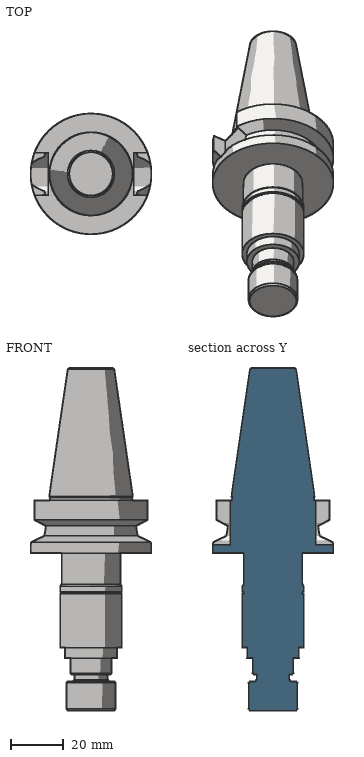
import cadquery as cq
import math

total_length = 130.4
taper_length = 48.4
gauge_to_flange = 2.0
flange_thickness = 20.0
gauge_z = total_length - taper_length
flange_top_z = gauge_z - gauge_to_flange
flange_bottom_z = flange_top_z - flange_thickness

gauge_radius = 31.75 / 2
taper_ratio = 7 / 24
shank_tip_chamfer = 0.6
relief_radius = 31.3 / 2
relief_bevel = gauge_radius - relief_radius
relief_top_z = gauge_z - 0.8
relief_bottom_z = flange_top_z + 0.8

flange_radius = 45.98 / 2
groove_floor_radius = 38.0 / 2
gauge_to_groove = 13.6
groove_center_z = gauge_z - gauge_to_groove
groove_mouth_half_width = 4.2
groove_side_angle = math.radians(30)

slot_width = 16.1
slot_floor_x = 16.3
slot_bottom_z = 63.2

neck_radius = 22.45 / 2
body_radius = 23.5 / 2
body_top_z = 48.2
body_top_chamfer_height = 0.8
body_bottom_z = 24.0
ring_groove_radius = neck_radius
ring_groove_top_z = 45.3
ring_groove_width = 0.7
ring_groove_bevel = 0.3
collar_radius = 19.9 / 2
collar_bottom_z = 20.05

nose_radius = 15.77 / 2
nose_bottom_z = 13.8
nose_chamfer = 0.5
nut_neck_radius = 12.7 / 2
nut_radius = 18.7 / 2
nut_height = 11.2
nut_top_chamfer = 0.5
nut_neck_flare_width = 0.6
nut_neck_flare_height = 0.7
nut_bottom_chamfer_width = 0.5
nut_bottom_chamfer_height = 0.8


def revolved(profile):
    """Revolve (radius, z) points about the Z axis, closing the outline on the axis."""
    first_z = profile[0][1]
    last_z = profile[-1][1]
    outline = [(0, first_z)] + profile + [(0, last_z)]
    return cq.Workplane("XZ").polyline(outline).close().revolve(360, (0, 0), (0, 1))


def make_shank():
    tip_radius = gauge_radius - taper_length * taper_ratio / 2
    return revolved([
        (gauge_radius, flange_top_z),
        (relief_radius, relief_bottom_z),
        (relief_radius, relief_top_z),
        (gauge_radius, relief_top_z + relief_bevel),
        (gauge_radius, gauge_z),
        (tip_radius + shank_tip_chamfer * taper_ratio / 2, total_length - shank_tip_chamfer),
        (tip_radius - shank_tip_chamfer, total_length),
    ])


def make_flange():
    side_height = (flange_radius - groove_floor_radius) * math.tan(groove_side_angle)
    floor_half_width = groove_mouth_half_width - side_height
    return revolved([
        (flange_radius, flange_bottom_z),
        (flange_radius, groove_center_z - groove_mouth_half_width),
        (groove_floor_radius, groove_center_z - floor_half_width),
        (groove_floor_radius, groove_center_z + floor_half_width),
        (flange_radius, groove_center_z + groove_mouth_half_width),
        (flange_radius, flange_top_z),
    ])


def make_drive_slot(side):
    """Slot cutter on the +X (side = 1) or -X (side = -1) flank of the flange."""
    half_width = slot_width / 2
    arc_center_z = slot_bottom_z + half_width
    return (
        cq.Workplane("YZ", origin=(side * slot_floor_x, 0, 0))
        .moveTo(-half_width, flange_top_z)
        .lineTo(-half_width, arc_center_z)
        .threePointArc((0, slot_bottom_z), (half_width, arc_center_z))
        .lineTo(half_width, flange_top_z)
        .close()
        .extrude(side * (flange_radius - slot_floor_x))
    )


def make_body():
    ring_groove_bottom_z = ring_groove_top_z - ring_groove_width
    return revolved([
        (collar_radius, collar_bottom_z),
        (collar_radius, body_bottom_z),
        (body_radius, body_bottom_z),
        (body_radius, ring_groove_bottom_z),
        (ring_groove_radius, ring_groove_bottom_z),
        (ring_groove_radius, ring_groove_top_z - ring_groove_bevel),
        (body_radius, ring_groove_top_z),
        (body_radius, body_top_z - body_top_chamfer_height),
        (neck_radius, body_top_z),
        (neck_radius, flange_bottom_z),
    ])


def make_nose_and_nut():
    return revolved([
        (nut_radius - nut_bottom_chamfer_width, 0),
        (nut_radius, nut_bottom_chamfer_height),
        (nut_radius, nut_height - nut_top_chamfer),
        (nut_radius - nut_top_chamfer, nut_height),
        (nut_neck_radius + nut_neck_flare_width, nut_height),
        (nut_neck_radius, nut_height + nut_neck_flare_height),
        (nut_neck_radius, nose_bottom_z),
        (nose_radius - nose_chamfer, nose_bottom_z),
        (nose_radius, nose_bottom_z + nose_chamfer),
        (nose_radius, collar_bottom_z),
    ])


flange = make_flange()
for flank in (-1, 1):
    flange = flange.cut(make_drive_slot(flank))

result = make_nose_and_nut().union(make_body()).union(flange).union(make_shank())